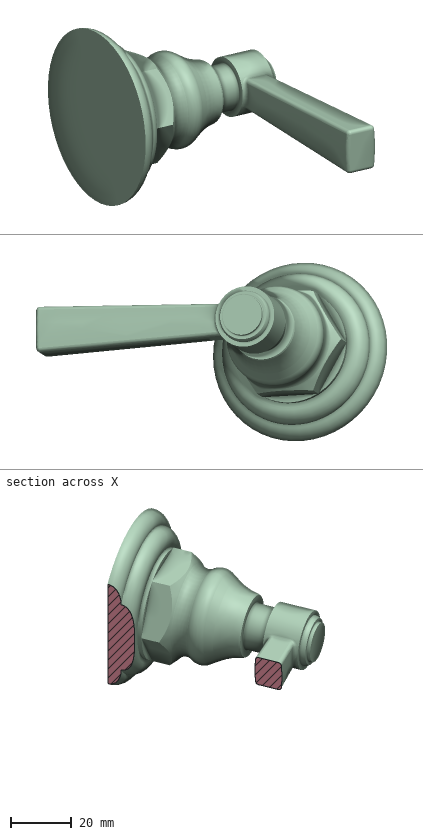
import cadquery as cq
import math


BASE_R = 29.972
STEP_R = 25.4
STEP_H = 4.826
COLLAR_R = 19.05
COLLAR_TOP = 11.2

HEX_ACROSS_FLATS = 33.53
HEX_CORNER_R = HEX_ACROSS_FLATS / math.sqrt(3)
HEX_CHAMFER_START = 17.5

NECK_START = (16.2, 20.45)
NECK_WAIST = (14.95, 23.4)
BULGE_START = (15.6, 25.9)
BULGE_CREST = (16.55, 28.9)
BULGE_END = (15.5, 31.75)
FLARE_START = (13.8, 34.5)
FLARE_END = (10.9, 42.3)
LIP_R = 10.6
LIP_TOP = 42.85

STEM_R = 7.9375
STEM_FILLET = 0.3
HUB_R = 10.16
HUB_BOTTOM = 50.7
HUB_TOP = 63.1
DOME_BASE_R = 8.65
DOME_TOP_R = 8.0
DOME_MID_R = 8.45
DOME_TOP = 65.0
BUTTON_R = 6.75
BUTTON_FILLET = 0.25
TOTAL_H = 66.17

LEVER_TIP_X = 72.39
LEVER_LOW_Y = 52.48
LEVER_ROOT_HIGH_Y = 61.07
LEVER_TIP_HIGH_Y = 62.88
LEVER_ROOT_HALF_WIDTH = 5.05
LEVER_TIP_HALF_WIDTH = 7.65
LEVER_BOW_R = 55.0
LEVER_EDGE_FILLET = 1.27
LEVER_ROOT_FILLET = 1.0
JOINT_MARGIN = 0.1


def spun(profile):
    """Revolve a closed radius/height profile about the Y axis."""
    return profile.close().revolve(360, (0, 0, 0), (0, 1, 0))


def make_base():
    """Two quarter-round steps carrying a short collar."""
    round_dir = math.sqrt(0.5)

    def round_mid(outer_r, bottom):
        return (outer_r - STEP_H * (1 - round_dir), bottom + STEP_H * round_dir)

    profile = (
        cq.Workplane("XY")
        .lineTo(BASE_R, 0)
        .threePointArc(round_mid(BASE_R, 0), (BASE_R - STEP_H, STEP_H))
        .lineTo(STEP_R, STEP_H)
        .threePointArc(round_mid(STEP_R, STEP_H), (STEP_R - STEP_H, 2 * STEP_H))
        .lineTo(COLLAR_R, 2 * STEP_H)
        .lineTo(COLLAR_R, COLLAR_TOP)
        .lineTo(0, COLLAR_TOP)
    )
    return spun(profile)


def make_hexagon():
    """Hexagonal prism with two corners on the X axis, trimmed by a cone."""
    prism = (
        cq.Workplane("XZ", origin=(0, COLLAR_TOP, 0))
        .polygon(6, 2 * HEX_CORNER_R)
        .extrude(-(NECK_START[1] - COLLAR_TOP))
    )
    cone_profile = (
        cq.Workplane("XY")
        .lineTo(HEX_CORNER_R, 0)
        .lineTo(HEX_CORNER_R, HEX_CHAMFER_START)
        .lineTo(*NECK_START)
        .lineTo(0, NECK_START[1])
    )
    return prism.intersect(spun(cone_profile))


def make_bell():
    """Waisted and bulged bell that flares in to a small chamfered lip."""
    profile = (
        cq.Workplane("XY")
        .moveTo(0, NECK_START[1])
        .lineTo(*NECK_START)
        .threePointArc(NECK_WAIST, BULGE_START)
        .threePointArc(BULGE_CREST, BULGE_END)
        .lineTo(*FLARE_START)
        .tangentArcPoint(FLARE_END, relative=False)
        .lineTo(LIP_R, LIP_TOP)
        .lineTo(0, LIP_TOP)
    )
    return spun(profile)


def make_stem():
    """Stem between bell and hub, with a small fillet at each end."""
    wide_r = STEM_R + STEM_FILLET
    profile = (
        cq.Workplane("XY")
        .moveTo(0, LIP_TOP)
        .lineTo(wide_r, LIP_TOP)
        .radiusArc((STEM_R, LIP_TOP + STEM_FILLET), STEM_FILLET)
        .lineTo(STEM_R, HUB_BOTTOM - STEM_FILLET)
        .radiusArc((wide_r, HUB_BOTTOM), STEM_FILLET)
        .lineTo(0, HUB_BOTTOM)
    )
    return spun(profile)


def make_hub():
    """Plain cylinder that carries the lever."""
    return (
        cq.Workplane("XZ", origin=(0, HUB_BOTTOM, 0))
        .circle(HUB_R)
        .extrude(-(HUB_TOP - HUB_BOTTOM))
    )


def make_button():
    """Rounded shoulder and raised round button on top of the hub."""
    profile = (
        cq.Workplane("XY")
        .moveTo(0, HUB_TOP)
        .lineTo(DOME_BASE_R, HUB_TOP)
        .threePointArc((DOME_MID_R, (HUB_TOP + DOME_TOP) / 2), (DOME_TOP_R, DOME_TOP))
        .lineTo(BUTTON_R + BUTTON_FILLET, DOME_TOP)
        .radiusArc((BUTTON_R, DOME_TOP + BUTTON_FILLET), BUTTON_FILLET)
        .lineTo(BUTTON_R, TOTAL_H)
        .lineTo(0, TOTAL_H)
    )
    return spun(profile)


def lever_section(x, half_width, high_y):
    """Four-sided wire across the lever: flat sides, bowed lower and upper edges."""
    bow = LEVER_BOW_R - math.sqrt(LEVER_BOW_R**2 - half_width**2)
    return (
        cq.Workplane("YZ", origin=(x, 0, 0))
        .moveTo(LEVER_LOW_Y, -half_width)
        .lineTo(high_y, -half_width)
        .threePointArc((high_y + bow, 0), (high_y, half_width))
        .lineTo(LEVER_LOW_Y, half_width)
        .threePointArc((LEVER_LOW_Y - bow, 0), (LEVER_LOW_Y, -half_width))
        .close()
        .val()
    )


def make_lever():
    """Lever bar from the spindle axis to the tip, all outer edges rounded."""
    root = lever_section(0, LEVER_ROOT_HALF_WIDTH, LEVER_ROOT_HIGH_Y)
    tip = lever_section(LEVER_TIP_X, LEVER_TIP_HALF_WIDTH, LEVER_TIP_HIGH_Y)
    bar = cq.Workplane(cq.Solid.makeLoft([root, tip], True))
    return bar.edges("not <X").fillet(LEVER_EDGE_FILLET)


def make_handle():
    """Hub and lever joined, with a fillet where the lever leaves the hub."""
    hub = make_hub()
    joined = hub.union(make_lever())
    joint = cq.selectors.BoxSelector(
        (HUB_R / 2, HUB_BOTTOM + JOINT_MARGIN, -HUB_R),
        (HUB_R + JOINT_MARGIN, HUB_TOP - JOINT_MARGIN, HUB_R),
    )
    return joined.edges(joint).fillet(LEVER_ROOT_FILLET)


result = (
    make_base()
    .union(make_hexagon())
    .union(make_bell())
    .union(make_stem())
    .union(make_handle())
    .union(make_button())
)